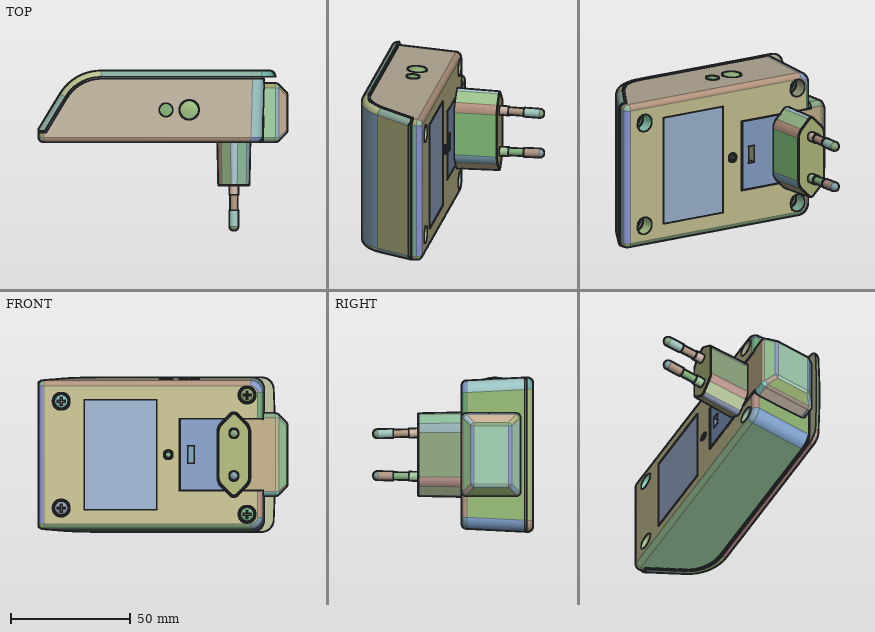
import cadquery as cq
import math


case_depth = 30.1
case_end_x = 94.8
case_end_draft = 1.6
body_corner_radius = 5.0
back_edge_radius = 2.3
half_height_back = 31.1
side_draft = 2.9
slant_angle = 58.6
bend_radius = 20.1
bend_end_x = 26.3

cover_thickness = 2.7
cover_edge_radius = 2.5
cover_end_x = 99.6
cover_end_radius = 470.7
cover_corner_radius = 5.2
cover_low_edge_y = 4.7
seam_width = 0.8
seam_depth = 0.5
seam_overlap = 0.5
body_low_edge_y = 4.1

carrier_end_x = 104.6
carrier_start_x = 94.3
carrier_depth = 24.9
carrier_half_height = 17.5
carrier_edge_radius = 2.1
carrier_chamfer = 4.4
plate_start_x = 59.6
plate_half_height = 15.0
plate_end_gap = 0.5
plate_side_gap = 0.1
plate_gap_depth = 0.4
plate_depth = 6.3

plug_x = 82.0
plug_half_width = 7.0
plug_shoulder_z = 11.7
plug_length = 18.2
plug_draft = 1.2
plug_tip_radius = 2.2
plug_shoulder_radius = 5.8
plug_edge_chamfer = 0.3
pin_spacing = 18.2
pin_tilt = 1
pin_radius = 2.0
pin_neck_radius = 1.7
pin_collar_length = 3.8
pin_neck_end = 10.4
pin_length = 18.9
pin_root = 1

screw_places = [(9.6, 22.4), (87.5, 25.0)]
screw_hole_radius = 3.7
screw_hole_depth = 6.3
screw_well_radius = 3.2
screw_well_depth = 8.4
screw_head_radius = 2.9
screw_rim_height = 0.8
screw_dome_rise = 1.3
cross_length = 3.3
cross_width = 0.7
cross_depth = 1.3

label_start_x = 19.2
label_end_x = 49.6
label_half_height = 23.1
label_depth = 0.2
lamp_x = 54.5
lamp_radius = 2.0
lamp_bore_radius = 1.3
lamp_recess_depth = 0.5
lamp_bore_depth = 2.1
slot_x = 64.0
slot_width = 2.7
slot_height = 7.3
slot_depth = 4.2

button_y = 13.6
button_root = 1
small_button_x = 53.6
small_button_radius = 2.8
small_button_rim = 0.2
small_button_rise = 0.1
large_button_x = 63.3
large_button_radius = 4.0
large_button_gap = 0.2
large_button_gap_depth = 0.5
large_button_rise = 0.6

slant = math.radians(slant_angle)
bend_centre_y = case_depth - bend_radius
reach = 2 * case_depth
margin = 1


def block_between(x_range, y_range, half_height):
    """Box symmetric about Z = 0."""
    size_x = x_range[1] - x_range[0]
    size_y = y_range[1] - y_range[0]
    box = cq.Workplane("XY").box(size_x, size_y, 2 * half_height, centered=(False, False, True))
    return box.translate((x_range[0], y_range[0], 0))


def rod(x, z, radius, y_range):
    """Cylinder along Y."""
    length = y_range[1] - y_range[0]
    return cq.Workplane("XZ", origin=(x, y_range[0], z)).circle(radius).extrude(-length)


def domed_button(radius, rim_height, rise):
    """Cylinder standing on Z = 0 with a spherical cap on top."""
    sphere_radius = (radius ** 2 + rise ** 2) / (2 * rise)
    top = rim_height + rise
    half_angle = math.asin(radius / sphere_radius) / 2
    cap_middle = (sphere_radius * math.sin(half_angle), top - sphere_radius * (1 - math.cos(half_angle)))
    outline = cq.Workplane("XZ").lineTo(radius, 0).lineTo(radius, rim_height)
    outline = outline.threePointArc(cap_middle, (0, top)).close()
    return outline.revolve(360, (0, 0, 0), (0, 1, 0))


def slant_x(inset, y):
    """X of the slanted face, moved inwards by inset, at depth y."""
    tangent_x = bend_end_x - (bend_radius - inset) * math.sin(slant)
    tangent_y = bend_centre_y + (bend_radius - inset) * math.cos(slant)
    return tangent_x - (tangent_y - y) / math.tan(slant)


def under_surface(inset, low_y, end_x, end_draft):
    """Prism along Z below the case surface moved inwards by inset, with a full-width foot."""
    radius = bend_radius - inset
    top_y = bend_centre_y + radius
    foot_x = slant_x(inset, low_y)
    low_face_rise = max(-foot_x, 0) * math.tan(slant)
    end_shift = top_y * math.tan(math.radians(end_draft))

    def on_bend(angle):
        return (bend_end_x - radius * math.sin(angle), bend_centre_y + radius * math.cos(angle))

    outline = cq.Workplane("XY").moveTo(0, 0).lineTo(end_x - end_shift, 0).lineTo(end_x, top_y)
    outline = outline.lineTo(bend_end_x, top_y).threePointArc(on_bend(slant / 2), on_bend(slant))
    outline = outline.lineTo(max(foot_x, 0), low_y + low_face_rise)
    if foot_x > 0:
        outline = outline.lineTo(0, low_y)
    return outline.close().extrude(reach, both=True)


def drafted_sides(inset):
    """Prism along X that gives the case its drafted upper and lower sides."""
    back = half_height_back - inset
    front = back + case_depth * math.tan(math.radians(side_draft))
    corners = [(0, -back), (case_depth, -front), (case_depth, front), (0, back)]
    return cq.Workplane("YZ").polyline(corners).close().extrude(2 * reach)


def round_side_corners(block, from_x, to_x, radius):
    """Round the two steep corner edges whose middles lie between from_x and to_x."""
    middles = cq.selectors.BoxSelector((from_x, margin, -reach), (to_x, case_depth - margin, reach))
    return block.edges(middles).edges("not(|Z)").fillet(radius)


def make_cover():
    shoulder_x = cover_end_x - cover_end_radius + math.sqrt(cover_end_radius ** 2 - reach ** 2)
    plan = (
        cq.Workplane("XZ").moveTo(0, -reach).lineTo(shoulder_x, -reach)
        .threePointArc((cover_end_x, 0), (shoulder_x, reach)).lineTo(0, reach).close()
        .extrude(-case_depth)
    )
    block = under_surface(0, cover_low_edge_y, cover_end_x + margin, 0)
    block = block.intersect(drafted_sides(0)).intersect(plan)
    block = round_side_corners(block, cover_end_x - cover_corner_radius, cover_end_x, cover_corner_radius)
    block = block.faces(">Y").edges("not(<X)").fillet(cover_edge_radius)
    return block.cut(under_surface(cover_thickness, cover_low_edge_y, cover_end_x + margin, 0))


def make_body():
    block = under_surface(cover_thickness + seam_width, body_low_edge_y, case_end_x, case_end_draft)
    block = block.intersect(drafted_sides(0))
    block = round_side_corners(block, case_end_x - body_corner_radius, case_end_x, body_corner_radius)
    block = round_side_corners(block, -margin, margin, back_edge_radius)
    return block.faces("<Y").edges().fillet(back_edge_radius)


def make_seam_core():
    """Set-back core that joins cover and body and leaves the seam as a groove."""
    low_y = cover_low_edge_y + seam_overlap
    core = under_surface(cover_thickness - seam_overlap, low_y, case_end_x - seam_depth, case_end_draft)
    core = core.intersect(drafted_sides(seam_depth))
    core = round_side_corners(core, case_end_x - body_corner_radius, case_end_x, body_corner_radius)
    room = block_between((back_edge_radius, case_end_x), (back_edge_radius, case_depth), reach)
    return core.intersect(room)


def make_carrier_head():
    head = block_between((carrier_start_x, carrier_end_x), (0, carrier_depth), carrier_half_height)
    head = head.faces(">X").chamfer(carrier_chamfer)
    return head.edges("not(<X)").fillet(carrier_edge_radius)


def make_plate():
    """Flat tongue of the carrier, flush with the case."""
    plate_end_x = carrier_start_x + carrier_edge_radius
    return block_between((plate_start_x, plate_end_x), (0, plate_depth), plate_half_height)


def make_plate_gap():
    """Narrow groove around the tongue."""
    outer_x = (plate_start_x - plate_end_gap, carrier_start_x)
    outer = block_between(outer_x, (0, plate_gap_depth), plate_half_height + plate_side_gap)
    return outer.cut(make_plate())


def make_plug():
    tip_z = plug_shoulder_z + plug_half_width
    corners = [
        (plug_half_width, -plug_shoulder_z), (plug_half_width, plug_shoulder_z), (0, tip_z),
        (-plug_half_width, plug_shoulder_z), (-plug_half_width, -plug_shoulder_z), (0, -tip_z),
    ]
    outline = cq.Sketch().polygon(corners + corners[:1])
    outline = outline.vertices(">Y or <Y").fillet(plug_tip_radius).reset()
    outline = outline.vertices(">X or <X").fillet(plug_shoulder_radius)
    plug = cq.Workplane("XZ", origin=(plug_x, 0, 0)).placeSketch(outline)
    plug = plug.extrude(plug_length, taper=plug_draft)
    return plug.faces("<Y").chamfer(plug_edge_chamfer)


def make_pin(side):
    """Round contact pin; side is 1 for the upper pin and -1 for the lower one."""
    shoulder = pin_length - pin_radius
    bulge = pin_radius * math.sin(math.pi / 4)
    outline = (
        cq.Workplane("XY").moveTo(0, pin_root).lineTo(pin_radius, pin_root)
        .lineTo(pin_radius, -pin_collar_length).lineTo(pin_neck_radius, -pin_collar_length)
        .lineTo(pin_neck_radius, -pin_neck_end).lineTo(pin_radius, -pin_neck_end)
        .lineTo(pin_radius, -shoulder).threePointArc((bulge, -shoulder - bulge), (0, -pin_length)).close()
    )
    pin = outline.revolve(360, (0, 0, 0), (0, 1, 0)).rotate((0, 0, 0), (1, 0, 0), side * pin_tilt)
    return pin.translate((plug_x, -plug_length, side * pin_spacing / 2))


def make_screw_hole(x, z):
    hole = rod(x, z, screw_hole_radius, (0, screw_hole_depth))
    return hole.union(rod(x, z, screw_well_radius, (0, screw_well_depth)))


def make_screw_head(x, z):
    """Domed head with a cross recess, facing -Y."""
    top = screw_rim_height + screw_dome_rise
    head = domed_button(screw_head_radius, screw_rim_height, screw_dome_rise)
    for length, width in ((cross_length, cross_width), (cross_width, cross_length)):
        head = head.cut(cq.Workplane("XY").box(length, width, 2 * cross_depth).translate((0, 0, top)))
    return head.rotate((0, 0, 0), (1, 0, 0), 90).translate((x, screw_well_depth, z))


def on_upper_side(shape, x):
    """Move a shape built on the XY plane onto the drafted upper side, at the button row."""
    side_z = half_height_back + button_y * math.tan(math.radians(side_draft))
    return shape.rotate((0, 0, 0), (1, 0, 0), side_draft).translate((x, button_y, side_z))


result = make_cover().union(make_body()).union(make_seam_core())

result = result.cut(block_between((label_start_x, label_end_x), (0, label_depth), label_half_height))
result = result.cut(rod(lamp_x, 0, lamp_radius, (0, lamp_recess_depth)))
result = result.cut(rod(lamp_x, 0, lamp_bore_radius, (0, lamp_bore_depth)))

result = result.union(make_carrier_head()).union(make_plate()).cut(make_plate_gap())
slot_x_range = (slot_x - slot_width / 2, slot_x + slot_width / 2)
result = result.cut(block_between(slot_x_range, (0, slot_depth), slot_height / 2))
result = result.union(make_plug()).union(make_pin(1)).union(make_pin(-1))

for screw_x, screw_z in screw_places:
    for z in (screw_z, -screw_z):
        result = result.cut(make_screw_hole(screw_x, z)).union(make_screw_head(screw_x, z))

small_button = domed_button(small_button_radius, button_root + small_button_rim, small_button_rise)
result = result.union(on_upper_side(small_button.translate((0, 0, -button_root)), small_button_x))
ring = cq.Workplane("XY").circle(large_button_radius + large_button_gap).circle(large_button_radius)
ring = ring.extrude(large_button_gap_depth, both=True)
large_button = domed_button(large_button_radius, button_root, large_button_rise)
result = result.cut(on_upper_side(ring, large_button_x))
result = result.union(on_upper_side(large_button.translate((0, 0, -button_root)), large_button_x))